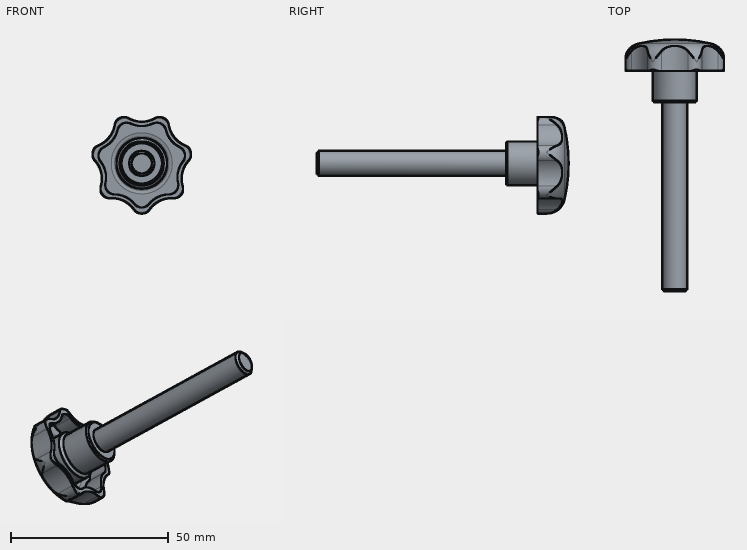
import cadquery as cq
import math

total_length = 80.0
head_height = 10.0
hub_length = 10.0
rim_y = total_length - head_height
hub_end_y = rim_y - hub_length

lobe_count = 7
head_radius = 16.0
dome_radius = 50.0
shoulder_radius = 6.0
crown_center = (0, total_length - dome_radius)
rim_fillet = 0.5

lobe_radius = 3.0
hollow_radius = 8.5

cavity_reach = 14.0
cavity_lobe_radius = lobe_radius
cavity_hollow_radius = 8.0
cavity_depth = 6.5
crown_wall = 2.5
root_fillet = 0.5

hub_radius = 7.0
hub_chamfer = 0.6
hub_root_radius = 8.0
stud_radius = 4.0
stud_chamfer = 0.8


def polar(radius, angle):
    """Point (x, z) at an angle measured from the downward lobe."""
    return (radius * math.sin(angle), -radius * math.cos(angle))


def lobed_outline(reach, tip_radius, waist_radius):
    """Closed outline at the rim plane: round lobes joined tangentially by concave arcs."""
    half_pitch = math.pi / lobe_count
    tip_center = reach - tip_radius
    arc_span = tip_radius + waist_radius
    side = tip_center * math.sin(half_pitch)
    waist_center = tip_center * math.cos(half_pitch) + math.sqrt(arc_span**2 - side**2)
    waist_reach = waist_center - waist_radius

    share = tip_radius / arc_span
    along = tip_center + share * (waist_center * math.cos(half_pitch) - tip_center)
    across = share * waist_center * math.sin(half_pitch)
    tangent_radius = math.hypot(along, across)
    tangent_angle = math.atan2(across, along)

    outline = cq.Workplane("XZ", origin=(0, rim_y, 0)).moveTo(*polar(tangent_radius, -tangent_angle))
    for index in range(lobe_count):
        lobe_angle = 2 * half_pitch * index
        next_start = lobe_angle + 2 * half_pitch - tangent_angle
        outline = outline.threePointArc(
            polar(reach, lobe_angle), polar(tangent_radius, lobe_angle + tangent_angle)
        )
        outline = outline.threePointArc(
            polar(waist_reach, lobe_angle + half_pitch), polar(tangent_radius, next_start)
        )
    return outline.close()


def revolve_about_axis(profile):
    """Turn a closed (radius, y) profile about the Y axis."""
    return profile.close().revolve(360, (0, 0), (0, 1))


def arc_point(center, radius, angle):
    """Point (radius, y) on an arc, with the angle measured from +Y towards the outside."""
    return (center[0] + radius * math.sin(angle), center[1] + radius * math.cos(angle))


def inner_tangent_arc(sphere_radius, arc_radius, arc_center_r):
    """Centre of an arc touching the inside of a crown sphere, and the angle of the touching point."""
    center_gap = sphere_radius - arc_radius
    lean = math.asin(arc_center_r / center_gap)
    return (arc_center_r, crown_center[1] + center_gap * math.cos(lean)), lean


def dome():
    """Turned blank: spherical crown, rounded shoulder, cylindrical side and rounded rim edge."""
    shoulder_center, lean = inner_tangent_arc(dome_radius, shoulder_radius, head_radius - shoulder_radius)
    rim_center = (head_radius - rim_fillet, rim_y + rim_fillet)
    outward = math.pi / 2
    down = math.pi
    profile = (
        cq.Workplane("XY")
        .moveTo(0, rim_y)
        .lineTo(*arc_point(rim_center, rim_fillet, down))
        .threePointArc(
            arc_point(rim_center, rim_fillet, (down + outward) / 2),
            arc_point(rim_center, rim_fillet, outward),
        )
        .lineTo(*arc_point(shoulder_center, shoulder_radius, outward))
        .threePointArc(
            arc_point(shoulder_center, shoulder_radius, (outward + lean) / 2),
            arc_point(shoulder_center, shoulder_radius, lean),
        )
        .threePointArc(arc_point(crown_center, dome_radius, lean / 2), (0, total_length))
    )
    return revolve_about_axis(profile)


def head():
    """Domed head trimmed to the lobed outline."""
    lobes = lobed_outline(head_radius, lobe_radius, hollow_radius).extrude(-head_height)
    return dome().intersect(lobes)


def cavity_pocket():
    """Lobed pocket in the rim face with a flat floor."""
    return lobed_outline(cavity_reach, cavity_lobe_radius, cavity_hollow_radius).extrude(-cavity_depth)


def ceiling_groove():
    """Ring above the cavity floor: ceiling concentric with the crown, filleted into the hub root."""
    floor_y = rim_y + cavity_depth
    ceiling_radius = dome_radius - crown_wall
    ceiling_edge_angle = math.acos((floor_y - crown_center[1]) / ceiling_radius)
    fillet_center, lean = inner_tangent_arc(ceiling_radius, root_fillet, hub_root_radius + root_fillet)
    toward_hub = -math.pi / 2
    profile = (
        cq.Workplane("XY")
        .moveTo(hub_root_radius, floor_y)
        .lineTo(*arc_point(crown_center, ceiling_radius, ceiling_edge_angle))
        .threePointArc(
            arc_point(crown_center, ceiling_radius, (ceiling_edge_angle + lean) / 2),
            arc_point(crown_center, ceiling_radius, lean),
        )
        .threePointArc(
            arc_point(fillet_center, root_fillet, (lean + toward_hub) / 2),
            arc_point(fillet_center, root_fillet, toward_hub),
        )
    )
    return revolve_about_axis(profile)


def hub_and_stud():
    """Stepped hub, wider inside the cavity, with the stud on the same axis."""
    step_height = hub_root_radius - hub_radius
    profile = (
        cq.Workplane("XY")
        .lineTo(stud_radius - stud_chamfer, 0)
        .lineTo(stud_radius, stud_chamfer)
        .lineTo(stud_radius, hub_end_y)
        .lineTo(hub_radius - hub_chamfer, hub_end_y)
        .lineTo(hub_radius, hub_end_y + hub_chamfer)
        .lineTo(hub_radius, rim_y)
        .lineTo(hub_root_radius, rim_y + step_height)
        .lineTo(hub_root_radius, rim_y + cavity_depth)
        .lineTo(0, rim_y + cavity_depth)
    )
    return revolve_about_axis(profile)


result = head().cut(cavity_pocket()).union(hub_and_stud()).cut(ceiling_groove())